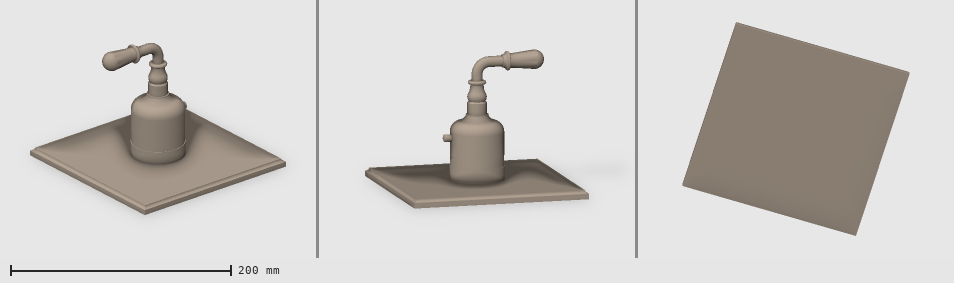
import cadquery as cq

PLATE_SIDE = 165.1
PLATE_HEIGHT = 8.0
COVE_RADIUS = 3.0

BASE_RADIUS = 25.0
BODY_RADIUS = 24.8
BAND_DEPTH = 0.3
BAND_BOTTOM = 20.3
BAND_TOP = 30.2
SHOULDER_BOTTOM = 52.0
SHOULDER_RADIUS = 16.5
SHOULDER_HEIGHT = 61.9
LIP_RADIUS = 10.2
LIP_BOTTOM = 67.4
LIP_TOP = 68.4

SLEEVE_RADIUS = 8.9
SLEEVE_TOP = 78.8
BULB_NECK_RADIUS = 7.6
BULB_BOTTOM = 80.2
BULB_MIDDLE = 83.9
BULB_TOP = 87.2
BULB_TOP_RADIUS = 8.1
WAIST_RADIUS = 6.1
WAIST_BOTTOM = 94.1
RING_BOTTOM = 95.8
RING_TOP = 99.2
RING_RADIUS = 8.5

TUBE_RADIUS = 5.0
LEVER_HEIGHT = 115.9
BEND_RADIUS = 11.2
BEND_BOTTOM = LEVER_HEIGHT - BEND_RADIUS

COLLAR_START = 23.6
COLLAR_RADIUS = 6.0
FLARE_MIDDLE = 25.8
FLARE_MIDDLE_RADIUS = 6.5
BEAD_START = 27.2
BEAD_END = 30.0
BEAD_ROOT_RADIUS = 7.8
BEAD_RADIUS = 8.9
GRIP_RADIUS = 6.8
FLUTE_START = 34.3
BALL_RADIUS = 8.9
BALL_CENTER = 54.0
FLAT_COUNT = 8
FLAT_DISTANCE = 8.6
FLAT_TOOL_SIZE = 13.2

PIN_RADIUS = 3.5
PIN_HEIGHT = 47.0
PIN_TIP = 31.9
PIN_CHAMFER_LENGTH = 1.7
PIN_CHAMFER_INSET = 0.8


def make_plate():
    """Square plate with a concave quarter-round cove along its four top edges."""
    plate = cq.Workplane("XY").box(PLATE_SIDE, PLATE_SIDE, PLATE_HEIGHT, centered=(True, True, False))
    cove_tool = (
        cq.Workplane("XZ")
        .center(PLATE_SIDE / 2, PLATE_HEIGHT)
        .circle(COVE_RADIUS)
        .extrude(PLATE_SIDE, both=True)
    )
    for i in range(4):
        plate = plate.cut(cove_tool.rotate((0, 0, 0), (0, 0, 1), i * 90))
    return plate


def make_body():
    band_radius = BODY_RADIUS - BAND_DEPTH
    ring_half_height = (RING_TOP - RING_BOTTOM) / 2
    ring_root = RING_RADIUS - ring_half_height
    profile = (
        cq.Workplane("XZ")
        .lineTo(BASE_RADIUS, 0)
        .lineTo(BASE_RADIUS, BAND_BOTTOM)
        .lineTo(band_radius, BAND_BOTTOM)
        .lineTo(band_radius, BAND_TOP)
        .lineTo(BODY_RADIUS, BAND_TOP)
        .lineTo(BODY_RADIUS, SHOULDER_BOTTOM)
        .tangentArcPoint((SHOULDER_RADIUS, SHOULDER_HEIGHT), relative=False)
        .tangentArcPoint((LIP_RADIUS, LIP_BOTTOM), relative=False)
        .lineTo(LIP_RADIUS, LIP_TOP)
        .lineTo(SLEEVE_RADIUS, LIP_TOP)
        .lineTo(SLEEVE_RADIUS, SLEEVE_TOP)
        .lineTo(BULB_NECK_RADIUS, BULB_BOTTOM)
        .threePointArc((SLEEVE_RADIUS, BULB_MIDDLE), (BULB_TOP_RADIUS, BULB_TOP))
        .tangentArcPoint((WAIST_RADIUS, WAIST_BOTTOM), relative=False)
        .lineTo(WAIST_RADIUS, RING_BOTTOM)
        .lineTo(ring_root, RING_BOTTOM)
        .threePointArc((RING_RADIUS, RING_BOTTOM + ring_half_height), (ring_root, RING_TOP))
        .lineTo(0, RING_TOP)
        .close()
    )
    return profile.revolve(360, (0, 0, 0), (0, 1, 0))


def make_tube():
    path = (
        cq.Workplane("YZ")
        .moveTo(0, SLEEVE_TOP)
        .lineTo(0, BEND_BOTTOM)
        .radiusArc((-BEND_RADIUS, LEVER_HEIGHT), -BEND_RADIUS)
        .lineTo(-BEAD_START, LEVER_HEIGHT)
    )
    return cq.Workplane("XY", origin=(0, 0, SLEEVE_TOP)).circle(TUBE_RADIUS).sweep(path)


def make_grip():
    """Turned grip along +X from the origin, with flats cut around its taper."""
    flat_rise = FLAT_DISTANCE - GRIP_RADIUS
    taper_length = BALL_CENTER - FLUTE_START
    flat_direction = (taper_length, flat_rise)
    taper_end_direction = (taper_length, 2 * (BALL_RADIUS - GRIP_RADIUS) - flat_rise)
    grip = (
        cq.Workplane("XY")
        .moveTo(COLLAR_START, 0)
        .lineTo(COLLAR_START, COLLAR_RADIUS)
        .threePointArc((FLARE_MIDDLE, FLARE_MIDDLE_RADIUS), (BEAD_START, BEAD_ROOT_RADIUS))
        .threePointArc(((BEAD_START + BEAD_END) / 2, BEAD_RADIUS), (BEAD_END, BEAD_ROOT_RADIUS))
        .lineTo(BEAD_END, GRIP_RADIUS)
        .lineTo(FLUTE_START, GRIP_RADIUS)
        .spline([(BALL_CENTER, BALL_RADIUS)], tangents=[flat_direction, taper_end_direction], includeCurrent=True)
        .radiusArc((BALL_CENTER + BALL_RADIUS, 0), BALL_RADIUS)
        .close()
        .revolve(360, (0, 0, 0), (1, 0, 0))
    )
    flat_tool = (
        cq.Workplane("XY")
        .moveTo(FLUTE_START, GRIP_RADIUS)
        .line(2 * taper_length, 2 * flat_rise)
        .line(0, FLAT_TOOL_SIZE)
        .lineTo(FLUTE_START, FLAT_TOOL_SIZE)
        .close()
        .extrude(FLAT_TOOL_SIZE / 2, both=True)
    )
    for i in range(FLAT_COUNT):
        grip = grip.cut(flat_tool.rotate((0, 0, 0), (1, 0, 0), i * 360 / FLAT_COUNT))
    return grip


def make_pin():
    return (
        cq.Workplane("XZ", origin=(0, 0, PIN_HEIGHT))
        .circle(PIN_RADIUS)
        .extrude(-PIN_TIP)
        .faces(">Y")
        .chamfer(PIN_CHAMFER_INSET, PIN_CHAMFER_LENGTH)
    )


grip = make_grip().rotate((0, 0, 0), (0, 0, 1), -90).translate((0, 0, LEVER_HEIGHT))
result = make_plate().union(make_body()).union(make_tube()).union(grip).union(make_pin())